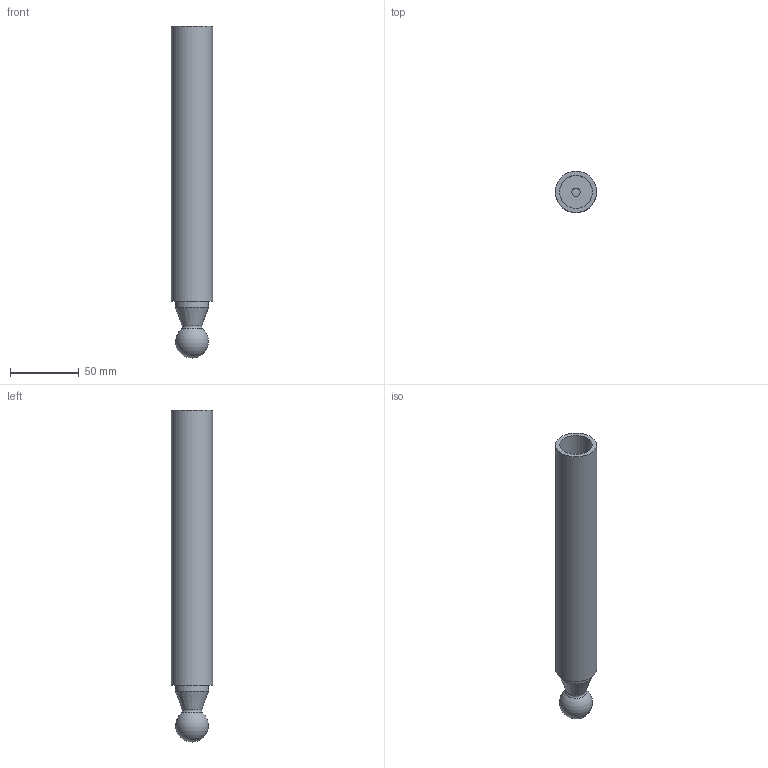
import cadquery as cq
import math

tube_diameter = 30.0
bore_diameter = 24.0
tube_length = 200.0

ball_diameter = 24.0
collar_length = 4.32
cone_length = 15.0
neck_to_ball_center = 10.0
neck_fillet_radius = 2.0
plug_depth = 20.0

plug_hole_diameter = 6.0
plug_hole_depth = plug_depth

plug_radius = bore_diameter / 2
ball_radius = ball_diameter / 2
neck_radius = math.sqrt(ball_radius**2 - neck_to_ball_center**2)
collar_bottom = -collar_length
neck_level = collar_bottom - cone_length
ball_center = neck_level - neck_to_ball_center
ball_bottom = ball_center - ball_radius


def make_tube():
    """Plain tube standing on Z = 0."""
    return (
        cq.Workplane("XY")
        .circle(tube_diameter / 2)
        .circle(bore_diameter / 2)
        .extrude(tube_length)
    )


def make_ball_stud():
    """Plug, cone and ball turned about Z, with a fillet at the neck."""
    stud = (
        cq.Workplane("XZ")
        .moveTo(0, plug_depth)
        .lineTo(plug_radius, plug_depth)
        .lineTo(plug_radius, collar_bottom)
        .lineTo(neck_radius, neck_level)
        .threePointArc((ball_radius, ball_center), (0, ball_bottom))
        .close()
        .revolve(360, (0, 0), (0, 1))
    )
    neck_edge = cq.selectors.NearestToPointSelector((0, 0, neck_level))
    return stud.edges(neck_edge).fillet(neck_fillet_radius)


def make_plug_hole():
    """Cutter for the blind hole in the top of the plug."""
    return (
        cq.Workplane("XY", origin=(0, 0, plug_depth))
        .circle(plug_hole_diameter / 2)
        .extrude(-plug_hole_depth)
    )


result = make_tube().union(make_ball_stud()).cut(make_plug_hole())